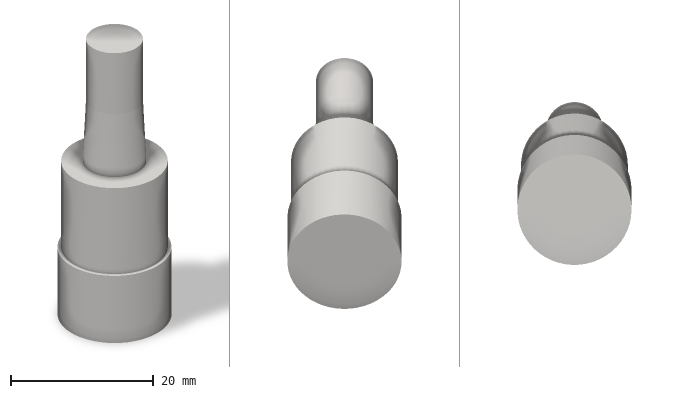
import cadquery as cq

base_diameter = 16.0
body_diameter = 15.0
collar_diameter = 8.9
tip_diameter = 8.0

base_top = 11.0
body_top = 25.0
collar_top = 26.0
taper_top = 35.0
tip_top = 45.0

half_profile = (
    cq.Workplane("XZ")
    .lineTo(base_diameter / 2, 0)
    .lineTo(base_diameter / 2, base_top)
    .lineTo(body_diameter / 2, base_top)
    .lineTo(body_diameter / 2, body_top)
    .lineTo(collar_diameter / 2, body_top)
    .lineTo(collar_diameter / 2, collar_top)
    .lineTo(tip_diameter / 2, taper_top)
    .lineTo(tip_diameter / 2, tip_top)
    .lineTo(0, tip_top)
    .close()
)

result = half_profile.revolve(360, (0, 0, 0), (0, 1, 0))